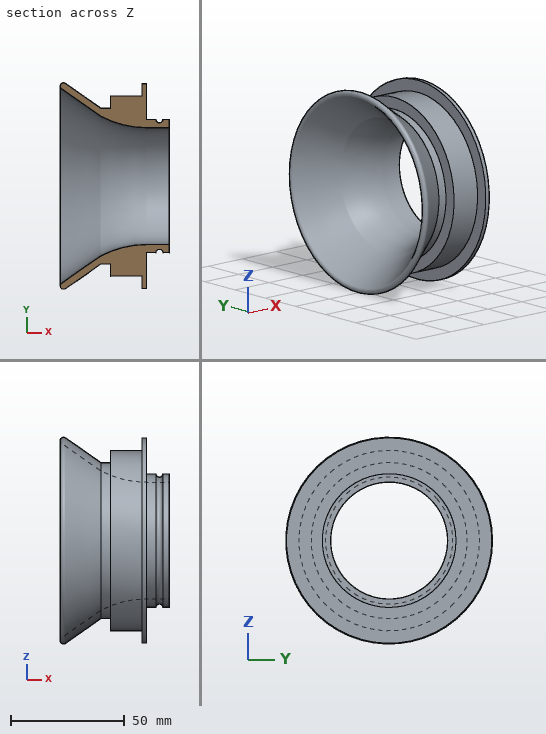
import cadquery as cq
import math


rim_radius = 45.5
flare_wall = 3.0
bead_radius = flare_wall / 2
flare_angle = math.radians(35)
neck_radius = 34.3

body_start = 22.1
body_radius = 39.7
flange_start = 36.0
flange_end = 38.05
flange_radius = 45.15
spigot_radius = 29.4
spigot_end = 48.1

groove_center = 43.7
groove_radius = 1.5

throat_radius = 25.7
bore_flare_end_radius = 30.7

bead_center_radius = rim_radius - bead_radius
bead_offset_x = bead_radius * math.sin(flare_angle)
bead_offset_r = bead_radius * math.cos(flare_angle)
outer_tangent = (bead_radius + bead_offset_x, bead_center_radius + bead_offset_r)
inner_tangent = (bead_radius - bead_offset_x, bead_center_radius - bead_offset_r)
bead_tip = (
    bead_radius - bead_radius * math.cos(flare_angle),
    bead_center_radius + bead_radius * math.sin(flare_angle),
)


def flare_position(start, radius):
    """X at which the flare cone leaving start narrows to the given radius."""
    return start[0] + (start[1] - radius) / math.tan(flare_angle)


neck_start = flare_position(outer_tangent, neck_radius)
bore_flare_end = flare_position(inner_tangent, bore_flare_end_radius)

blend_end = flange_end
blend_length = blend_end - bore_flare_end
blend_drop = bore_flare_end_radius - throat_radius
blend_radius = (blend_length**2 + blend_drop**2) / (2 * blend_drop)
blend_half_angle = math.asin(blend_length / blend_radius) / 2
blend_middle = (
    blend_end - blend_radius * math.sin(blend_half_angle),
    throat_radius + blend_radius * (1 - math.cos(blend_half_angle)),
)

profile = (
    cq.Workplane("XY")
    .moveTo(*inner_tangent)
    .threePointArc(bead_tip, outer_tangent)
    .lineTo(neck_start, neck_radius)
    .lineTo(body_start, neck_radius)
    .lineTo(body_start, body_radius)
    .lineTo(flange_start, body_radius)
    .lineTo(flange_start, flange_radius)
    .lineTo(flange_end, flange_radius)
    .lineTo(flange_end, spigot_radius)
    .lineTo(groove_center - groove_radius, spigot_radius)
    .threePointArc(
        (groove_center, spigot_radius - groove_radius),
        (groove_center + groove_radius, spigot_radius),
    )
    .lineTo(spigot_end, spigot_radius)
    .lineTo(spigot_end, throat_radius)
    .lineTo(blend_end, throat_radius)
    .threePointArc(blend_middle, (bore_flare_end, bore_flare_end_radius))
    .close()
)

result = profile.revolve(360, (0, 0, 0), (1, 0, 0))